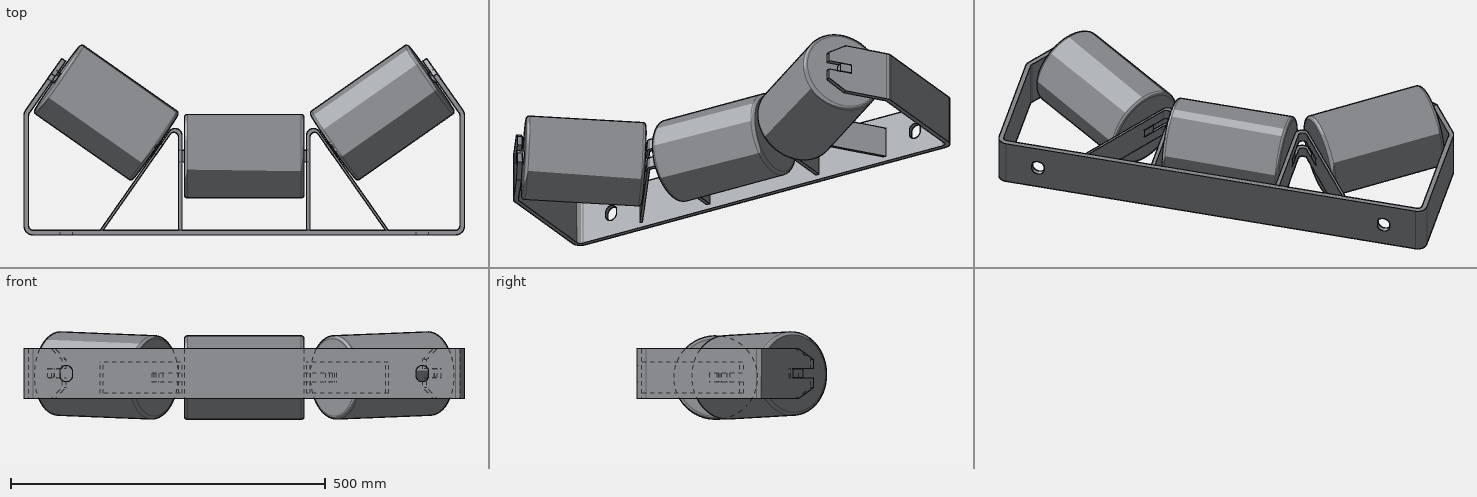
import cadquery as cq
import math

FRAME_LENGTH = 700.0
FRAME_HEIGHT = 80.0
FRAME_SHEET = 8.0
FRAME_BEND_RADIUS = 15.0
WALL_LENGTH = 194.5
ARM_LENGTH = 105.0
ARM_CHAMFER_ALONG = 29.5
ARM_CHAMFER_ACROSS = 17.5

MOUNT_SLOT_OFFSET = 283.0
MOUNT_SLOT_WIDTH = 20.0
MOUNT_SLOT_HEIGHT = 26.0

DRUM_RADIUS = 66.5
DRUM_LENGTH = 190.5
DRUM_RIM_RADIUS = 5.0
AXLE_THICKNESS = 14.0
AXLE_WIDTH = 19.0

WING_ANGLE = 35.0
WING_RISE_ANGLE = 1.9
MIDDLE_AXIS_Y = 125.0
MIDDLE_AXIS_Z = -6.0
WING_CENTER_X = -219.0
WING_CENTER_Y = 194.5

BRACKET_HEIGHT = 50.0
UPRIGHT_THICKNESS = 6.0
SLOPED_THICKNESS = 4.0
BRACKET_OUTER_RADIUS = 11.0
BRACKET_INNER_RADIUS = 7.0
BRACKET_FACE_X = -99.0
BRACKET_TOP_Y = 169.5

AXLE_SLOT_WIDTH = 15.0
AXLE_SLOT_RUN = 105.0

SIN_WING = math.sin(math.radians(WING_ANGLE))
COS_WING = math.cos(math.radians(WING_ANGLE))
TAN_WING = math.tan(math.radians(WING_ANGLE))
TAN_HALF_WING = math.tan(math.radians(WING_ANGLE / 2))
TAN_RISE = math.tan(math.radians(WING_RISE_ANGLE))
COS_RISE = math.cos(math.radians(WING_RISE_ANGLE))
AXIS_DIR = cq.Vector(COS_WING, -SIN_WING, 0)
ARM_DIR = cq.Vector(SIN_WING, COS_WING, 0)

ARM_BEND = cq.Vector(-FRAME_LENGTH / 2, WALL_LENGTH, 0)
ARM_TIP = ARM_BEND + ARM_DIR * ARM_LENGTH
BRACKET_BACK_X = BRACKET_FACE_X - UPRIGHT_THICKNESS
BRACKET_APEX_Y = BRACKET_TOP_Y - BRACKET_OUTER_RADIUS + BRACKET_OUTER_RADIUS / TAN_HALF_WING
BRACKET_APEX = cq.Vector(BRACKET_FACE_X, BRACKET_APEX_Y, 0)

WING_CENTER = cq.Vector(WING_CENTER_X, WING_CENTER_Y, 0)
ARM_REACH = (WING_CENTER - ARM_BEND).dot(AXIS_DIR)
BRACKET_REACH = (BRACKET_APEX - WING_CENTER).dot(AXIS_DIR) + SLOPED_THICKNESS

WING_CENTER_Z = MIDDLE_AXIS_Z + (BRACKET_REACH - SLOPED_THICKNESS / 2) * TAN_RISE
ARM_SLOT_Z = WING_CENTER_Z + (ARM_REACH - FRAME_SHEET / 2) * TAN_RISE


def mirrored(body):
    """Copy of a left-hand body for the right-hand side."""
    return body.mirror("YZ")


def round_corners(sheet, corners, radius):
    """Round the upright edges of a sheet that stand at the given plan points."""
    for x, y in corners:
        sheet = sheet.edges(cq.NearestToPointSelector((x, y, 0))).fillet(radius)
    return sheet


def axle_slot(axis_point, axis_dir, up_dir, z, sheet):
    """Open slot cutter, flat under the axle and running away along up_dir."""
    plane = cq.Plane(origin=(axis_point.x, axis_point.y, z), xDir=up_dir, normal=axis_dir)
    return (
        cq.Workplane(plane)
        .center((AXLE_SLOT_RUN - AXLE_WIDTH) / 2, 0)
        .rect(AXLE_SLOT_RUN, AXLE_SLOT_WIDTH)
        .extrude(2 * sheet, both=True)
    )


def arm_tip_chamfer(side):
    """Wedge that takes one corner off the end of the left arm; side is +1 above, -1 below."""
    plane = cq.Plane(origin=ARM_TIP.toTuple(), xDir=ARM_DIR, normal=AXIS_DIR)
    edge = FRAME_HEIGHT / 2
    corners = [(0, edge), (-ARM_CHAMFER_ALONG, edge), (0, edge - ARM_CHAMFER_ACROSS)]
    wedge = cq.Workplane(plane).polyline([(x, side * y) for x, y in corners]).close()
    return wedge.extrude(2 * FRAME_SHEET, both=True)


def make_frame():
    half = FRAME_LENGTH / 2
    inner = half - FRAME_SHEET
    inner_tip = ARM_TIP + AXIS_DIR * FRAME_SHEET
    outer_bend = (-half, WALL_LENGTH)
    inner_bend = (-inner, WALL_LENGTH - FRAME_SHEET * TAN_HALF_WING)
    outer_corner = (-half, 0)
    inner_corner = (-inner, FRAME_SHEET)

    left = [
        inner_corner,
        inner_bend,
        (inner_tip.x, inner_tip.y),
        (ARM_TIP.x, ARM_TIP.y),
        outer_bend,
        outer_corner,
    ]
    right = [(-x, y) for x, y in reversed(left)]
    frame = cq.Workplane("XY").polyline(left + right).close().extrude(FRAME_HEIGHT / 2, both=True)

    bends = (
        ([outer_bend, outer_corner], FRAME_BEND_RADIUS),
        ([inner_bend, inner_corner], FRAME_BEND_RADIUS - FRAME_SHEET),
    )
    for corners, radius in bends:
        both_sides = corners + [(-x, y) for x, y in corners]
        frame = round_corners(frame, both_sides, radius)

    slot_point = WING_CENTER - AXIS_DIR * ARM_REACH
    slot = axle_slot(slot_point, AXIS_DIR, ARM_DIR, ARM_SLOT_Z, FRAME_SHEET)
    for cutter in (slot, arm_tip_chamfer(1), arm_tip_chamfer(-1)):
        frame = frame.cut(cutter).cut(mirrored(cutter))

    mount_slots = (
        cq.Workplane("XZ")
        .pushPoints([(-MOUNT_SLOT_OFFSET, 0), (MOUNT_SLOT_OFFSET, 0)])
        .slot2D(MOUNT_SLOT_HEIGHT, MOUNT_SLOT_WIDTH, 90)
        .extrude(-FRAME_SHEET)
    )
    return frame.cut(mount_slots)


def make_left_bracket():
    foot_y = FRAME_SHEET
    inner_apex_y = BRACKET_APEX_Y - (UPRIGHT_THICKNESS + SLOPED_THICKNESS / COS_WING) / TAN_WING
    outer_apex = (BRACKET_FACE_X, BRACKET_APEX_Y)
    inner_apex = (BRACKET_BACK_X, inner_apex_y)
    outline = [
        (BRACKET_FACE_X, foot_y),
        outer_apex,
        (BRACKET_FACE_X - (BRACKET_APEX_Y - foot_y) * TAN_WING, foot_y),
        (BRACKET_BACK_X - (inner_apex_y - foot_y) * TAN_WING, foot_y),
        inner_apex,
        (BRACKET_BACK_X, foot_y),
    ]
    bracket = cq.Workplane("XY").polyline(outline).close().extrude(BRACKET_HEIGHT / 2, both=True)
    bracket = round_corners(bracket, [outer_apex], BRACKET_OUTER_RADIUS)
    bracket = round_corners(bracket, [inner_apex], BRACKET_INNER_RADIUS)
    bracket = bracket.translate((0, 0, MIDDLE_AXIS_Z))

    upright_point = cq.Vector(BRACKET_FACE_X, MIDDLE_AXIS_Y, 0)
    sloped_point = WING_CENTER + AXIS_DIR * BRACKET_REACH
    x_dir = cq.Vector(1, 0, 0)
    y_dir = cq.Vector(0, 1, 0)
    upright_slot = axle_slot(upright_point, x_dir, y_dir, MIDDLE_AXIS_Z, UPRIGHT_THICKNESS)
    sloped_slot = axle_slot(sloped_point, AXIS_DIR, ARM_DIR, MIDDLE_AXIS_Z, SLOPED_THICKNESS)
    return bracket.cut(upright_slot).cut(sloped_slot)


def make_roller(plane, back_reach, front_reach):
    """Roller centred on the plane, its axle reaching both ways along the normal, wide along xDir."""
    drum = (
        cq.Workplane(plane)
        .workplane(offset=-DRUM_LENGTH / 2)
        .circle(DRUM_RADIUS)
        .extrude(DRUM_LENGTH)
        .edges("%CIRCLE")
        .fillet(DRUM_RIM_RADIUS)
    )
    axle = (
        cq.Workplane(plane)
        .workplane(offset=-back_reach)
        .rect(AXLE_WIDTH, AXLE_THICKNESS)
        .extrude(back_reach + front_reach)
    )
    return drum.union(axle)


def make_middle_roller():
    plane = cq.Plane(origin=(0, MIDDLE_AXIS_Y, MIDDLE_AXIS_Z), xDir=(0, 1, 0), normal=(1, 0, 0))
    reach = -BRACKET_BACK_X
    return make_roller(plane, reach, reach)


def make_left_wing_roller():
    axis = AXIS_DIR - cq.Vector(0, 0, TAN_RISE)
    plane = cq.Plane(origin=(WING_CENTER_X, WING_CENTER_Y, WING_CENTER_Z), xDir=ARM_DIR, normal=axis)
    return make_roller(plane, ARM_REACH / COS_RISE, BRACKET_REACH / COS_RISE)


frame = make_frame()
middle_roller = make_middle_roller()

side_bodies = []
for left_body in (make_left_bracket(), make_left_wing_roller()):
    side_bodies += [left_body.val(), mirrored(left_body).val()]

result = cq.Compound.makeCompound([frame.val(), middle_roller.val(), *side_bodies])